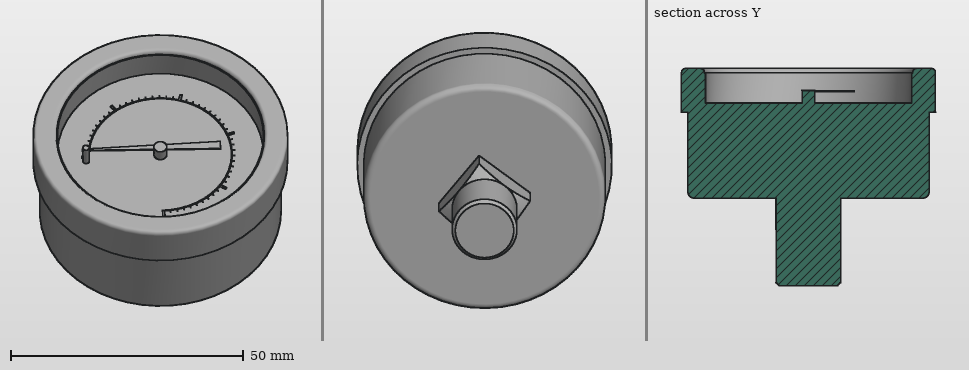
import cadquery as cq
import math


total_height = 46.85
ring_height = 9.55
case_depth = 28.0
wrench_flat_height = 6.65
dial_depth = 7.45
ring_bottom_z = total_height - ring_height
case_bottom_z = total_height - case_depth
wrench_bottom_z = case_bottom_z - wrench_flat_height
dial_z = total_height - dial_depth

ring_diameter = 54.8
case_diameter = 52.05
window_diameter = 44.35
ring_edge_fillet = 1.0
lip_diameter = 44.8
lip_depth = 1.05
lip_edge_fillet = 1.0
case_edge_fillet = 1.35

stem_diameter = 14.0
stem_chamfer = 0.7
wrench_corner_rise = 1.9

hub_diameter = 2.8
hub_height = 2.7
pointer_drop = 0.05
pointer_thickness = 0.3
pointer_tip_reach = 16.8
pointer_tail_reach = 12.95
pointer_tip_width = 0.35
pointer_tail_width = 1.9
pin_diameter = 1.35
pin_height = 4.65
pin_x = -10.6
pin_y = -12.1

scale_relief = 0.05
scale_start_angle = 225
scale_sweep = 270
major_divisions = 5
minor_per_major = 10
scale_inner_radius = 15.3
scale_outer_radius = 15.45
minor_tick_radius = 16.0
minor_tick_width = 0.05
major_tick_radius = 16.95
major_tick_width = 0.5


def disc(diameter, bottom_z, top_z):
    """Cylinder on the gauge axis between two heights."""
    return cq.Workplane("XY").workplane(offset=bottom_z).circle(diameter / 2).extrude(top_z - bottom_z)


def polar(radius, angle):
    """Point at a radius and an angle in degrees."""
    return (radius * math.cos(math.radians(angle)), radius * math.sin(math.radians(angle)))


def make_housing():
    """Case and bezel ring with the window sunk to the dial below a slightly wider rounded lip."""
    case = disc(case_diameter, case_bottom_z, ring_bottom_z).faces("<Z").edges().fillet(case_edge_fillet)
    ring = disc(ring_diameter, ring_bottom_z, total_height).faces(">Z").edges().fillet(ring_edge_fillet)
    window = disc(window_diameter, dial_z, total_height)
    lip_opening = disc(lip_diameter, total_height - lip_depth, total_height)
    housing = case.union(ring).cut(window).cut(lip_opening)
    rim_selector = cq.selectors.RadiusNthSelector(0)
    return housing.faces(">Z").edges(rim_selector).fillet(lip_edge_fillet)


def make_stem():
    """Round stem with a square wrench section whose lower corners are turned to a cone."""
    spigot = disc(stem_diameter, 0, wrench_bottom_z).faces("<Z").edges().chamfer(stem_chamfer)
    square = (
        cq.Workplane("XY")
        .workplane(offset=wrench_bottom_z)
        .rect(stem_diameter, stem_diameter)
        .extrude(wrench_flat_height)
    )
    flat_radius = stem_diameter / 2
    corner_radius = flat_radius * math.sqrt(2)
    turned_envelope = (
        cq.Workplane("XZ")
        .moveTo(0, wrench_bottom_z)
        .lineTo(flat_radius, wrench_bottom_z)
        .lineTo(corner_radius, wrench_bottom_z + wrench_corner_rise)
        .lineTo(corner_radius, case_bottom_z)
        .lineTo(0, case_bottom_z)
        .close()
        .revolve(360, (0, 0, 0), (0, 1, 0))
    )
    return spigot.union(square.intersect(turned_envelope))


def make_pointer():
    """Hub with a tapered needle pointing at the start of the scale."""
    hub_top_z = dial_z + hub_height
    needle = (
        cq.Workplane("XY")
        .workplane(offset=hub_top_z - pointer_drop - pointer_thickness)
        .polyline([
            (pointer_tip_reach, pointer_tip_width / 2),
            (-pointer_tail_reach, pointer_tail_width / 2),
            (-pointer_tail_reach, -pointer_tail_width / 2),
            (pointer_tip_reach, -pointer_tip_width / 2),
        ])
        .close()
        .extrude(pointer_thickness)
        .rotate((0, 0, 0), (0, 0, 1), scale_start_angle)
    )
    return disc(hub_diameter, dial_z, hub_top_z).union(needle)


def make_stop_pin():
    """Zero stop pin standing on the dial beside the needle tip."""
    return disc(pin_diameter, dial_z, dial_z + pin_height).translate((pin_x, pin_y, 0))


def make_scale_arc():
    """Thin raised arc that carries the ticks."""
    end_angle = scale_start_angle - scale_sweep
    middle_angle = scale_start_angle - scale_sweep / 2
    return (
        cq.Workplane("XY")
        .workplane(offset=dial_z)
        .moveTo(*polar(scale_outer_radius, scale_start_angle))
        .threePointArc(polar(scale_outer_radius, middle_angle), polar(scale_outer_radius, end_angle))
        .lineTo(*polar(scale_inner_radius, end_angle))
        .threePointArc(polar(scale_inner_radius, middle_angle), polar(scale_inner_radius, scale_start_angle))
        .close()
        .extrude(scale_relief)
    )


def make_tick(outer_radius, width, angle):
    """Raised radial tick that starts on the scale arc."""
    start_radius = (scale_inner_radius + scale_outer_radius) / 2
    length = outer_radius - start_radius
    return (
        cq.Workplane("XY")
        .workplane(offset=dial_z)
        .center(start_radius + length / 2, 0)
        .rect(length, width)
        .extrude(scale_relief)
        .rotate((0, 0, 0), (0, 0, 1), angle)
    )


def make_scale():
    """Scale arc with its major and minor ticks."""
    scale = make_scale_arc()
    tick_count = major_divisions * minor_per_major
    for index in range(tick_count + 1):
        angle = scale_start_angle - index * scale_sweep / tick_count
        if index % minor_per_major == 0:
            tick = make_tick(major_tick_radius, major_tick_width, angle)
        else:
            tick = make_tick(minor_tick_radius, minor_tick_width, angle)
        scale = scale.union(tick)
    return scale


result = (
    make_housing()
    .union(make_stem())
    .union(make_pointer())
    .union(make_stop_pin())
    .union(make_scale())
)